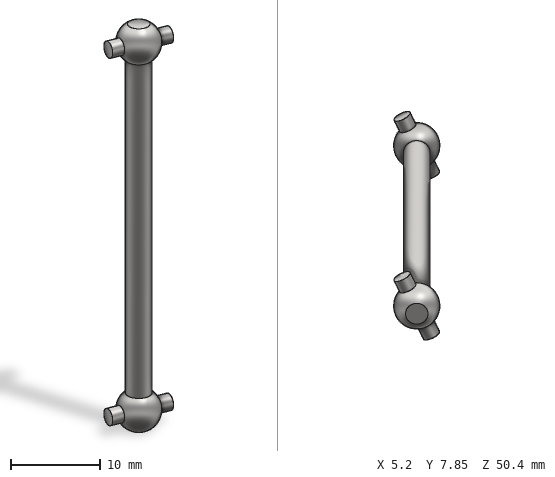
import cadquery as cq

overall_length = 50.35
shaft_diameter = 3.0
ball_diameter = 5.2
ball_center_to_flat = 2.25
pin_diameter = 2.0
pin_length = 7.85

ball_center_height = overall_length / 2 - ball_center_to_flat


def cross_pin(height):
    """Pin through a ball along Y, centered on the shaft axis."""
    return (
        cq.Workplane("XZ", origin=(0, 0, height))
        .circle(pin_diameter / 2)
        .extrude(pin_length / 2, both=True)
    )


shaft = cq.Workplane("XY").circle(shaft_diameter / 2).extrude(ball_center_height, both=True)

balls = cq.Workplane("XY").pushPoints(
    [(0, 0, -ball_center_height), (0, 0, ball_center_height)]
).sphere(ball_diameter / 2)

end_trim = cq.Workplane("XY").box(ball_diameter * 2, ball_diameter * 2, overall_length)
result = shaft.union(balls.intersect(end_trim))

for pin_height in (-ball_center_height, ball_center_height):
    result = result.union(cross_pin(pin_height))